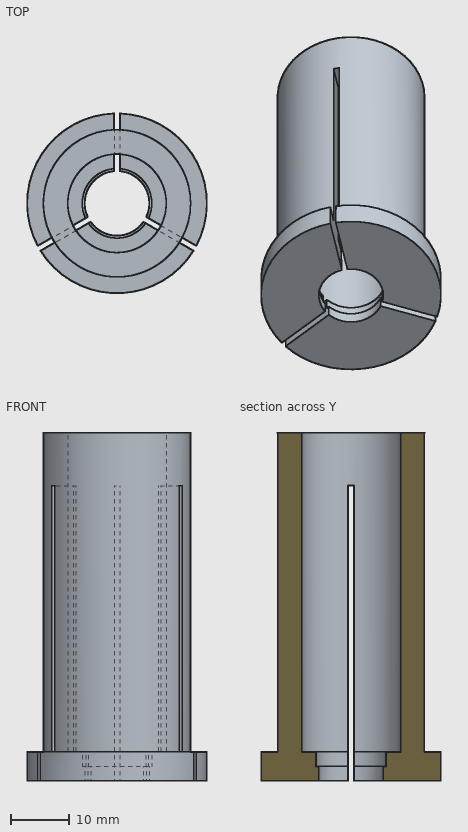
import cadquery as cq

total_height = 60
flange_diameter = 31.0
flange_height = 5.0
body_diameter = 25.4
socket_diameter = 17.0
relief_diameter = 12
grip_diameter = 11.1
slot_width = 0.95
slot_top = 50.9
slot_count = 3
first_slot_angle = 90

socket_floor = flange_height
relief_floor = flange_height / 2


def cylinder(diameter, bottom, top):
    return cq.Workplane("XY", origin=(0, 0, bottom)).circle(diameter / 2).extrude(top - bottom)


def flanged_body():
    flange = cylinder(flange_diameter, 0, flange_height)
    body = cylinder(body_diameter, 0, total_height)
    return flange.union(body)


def stepped_bore():
    """Socket, relief and grip bores, narrowing from top to bottom."""
    socket = cylinder(socket_diameter, socket_floor, total_height)
    relief = cylinder(relief_diameter, relief_floor, total_height)
    grip = cylinder(grip_diameter, 0, total_height)
    return socket.union(relief).union(grip)


def radial_slot(angle):
    """Slit from the axis out through the wall and flange, open at the bottom."""
    slot_length = flange_diameter / 2 + slot_width
    return (
        cq.Workplane("XY")
        .box(slot_length, slot_width, slot_top, centered=(False, True, False))
        .rotate((0, 0, 0), (0, 0, 1), angle)
    )


result = flanged_body().cut(stepped_bore())
for index in range(slot_count):
    result = result.cut(radial_slot(first_slot_angle + index * 360 / slot_count))